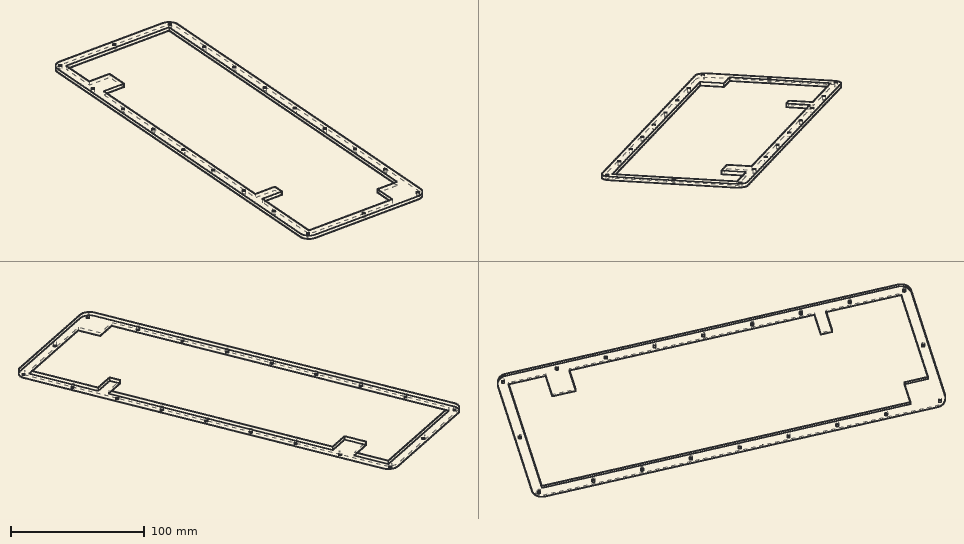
import cadquery as cq

length = 322.0
width = 112.3
thickness = 3.0
rim = 8.0
corner_radius = 8.0

hole_diameter = 2.2
corner_hole_inset = 4.8
edge_hole_inset = rim / 2
edge_hole_pitch = 38.0
edge_holes_per_side = 7

wide_tab_left = -124.0
wide_tab_width = 18.5
wide_tab_reach = 27.0
narrow_tab_left = 85.3
narrow_tab_width = 9.0
narrow_tab_reach = 26.5

corner_block_length = 26.7
corner_block_width = 26.5

half_length = length / 2
half_width = width / 2
inner_front = rim - half_width
inner_back = half_width - rim
inner_left = rim - half_length
inner_right = half_length - rim


def opening():
    """Window through the frame, stepping around the two tabs and the corner block."""
    wide_tab_end = wide_tab_reach - half_width
    narrow_tab_end = narrow_tab_reach - half_width
    wide_tab_right = wide_tab_left + wide_tab_width
    narrow_tab_right = narrow_tab_left + narrow_tab_width
    block_left = half_length - corner_block_length
    block_front = half_width - corner_block_width
    points = [
        (inner_left, inner_front),
        (wide_tab_left, inner_front),
        (wide_tab_left, wide_tab_end),
        (wide_tab_right, wide_tab_end),
        (wide_tab_right, inner_front),
        (narrow_tab_left, inner_front),
        (narrow_tab_left, narrow_tab_end),
        (narrow_tab_right, narrow_tab_end),
        (narrow_tab_right, inner_front),
        (inner_right, inner_front),
        (inner_right, block_front),
        (block_left, block_front),
        (block_left, inner_back),
        (inner_left, inner_back),
    ]
    return cq.Workplane("XY").polyline(points).close().extrude(thickness)


def screw_holes():
    """Through holes at the corners, along the long rims and midway on the short rims."""
    corner_x = half_length - corner_hole_inset
    corner_y = half_width - corner_hole_inset
    edge_x = half_length - edge_hole_inset
    edge_y = half_width - edge_hole_inset
    centers = []
    for side in (-1, 1):
        centers.append((side * edge_x, 0))
        centers.append((-corner_x, side * corner_y))
        centers.append((corner_x, side * corner_y))
        for index in range(edge_holes_per_side):
            x = (index - (edge_holes_per_side - 1) / 2) * edge_hole_pitch
            centers.append((x, side * edge_y))
    return cq.Workplane("XY").pushPoints(centers).circle(hole_diameter / 2).extrude(thickness)


plate = cq.Workplane("XY").box(length, width, thickness, centered=(True, True, False))
plate = plate.edges("|Z").fillet(corner_radius)
result = plate.cut(opening()).cut(screw_holes())